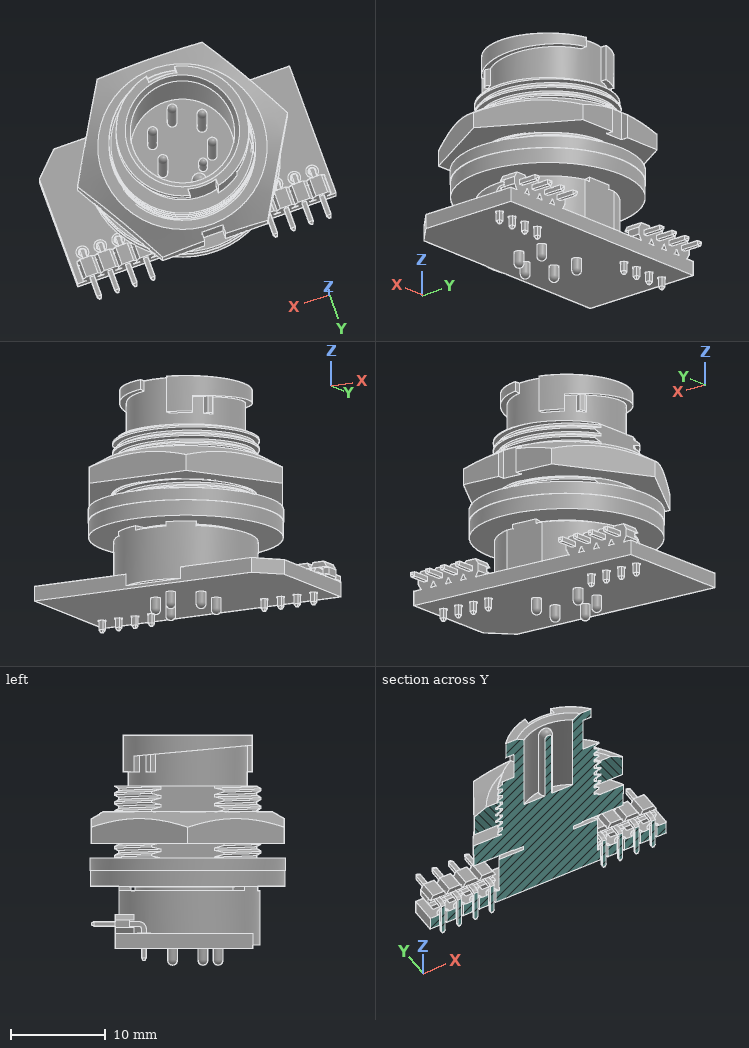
import cadquery as cq
import math


board_length = 28.96
board_thickness = 1.6
board_back_y = 7.65
board_front_y = -6.88
board_corner_cut = 2.54

header_pitch = 2.0
header_pins = 4
header_inner_pin_x = 6.87
header_leg_y = 4.62
header_height = 2.0
header_waist_bottom = 0.6
header_waist_top = 1.4
header_flat_half_width = 0.65
header_depth = 2.0
header_rear_groove = 0.5
header_pin_width = 0.5
header_pin_z = 1.0
header_pin_tip_y = 10.17
header_pin_tip_z = -2.87
header_bend_radius = 0.55
header_tip_length = 0.3
header_tip_width = 0.2
header_hole_radius = 0.42
pad_radius = 0.67
pad_thickness = 0.05

base_radius = 7.63
base_bottom = -1.25
base_top = 4.5
base_back_y = 7.27
neck_radius = 5.57
seat_radius = 6.3
seat_thickness = 0.1
tooth_inner_radius = 6.1
tooth_width_angle = 24.3
front_tooth_offset = 26.1
tooth_angles = (90, 270 - front_tooth_offset, 270 + front_tooth_offset)

flange_bottom = 4.97
flange_split = 6.65
flange_top = 7.97
flange_radius = 10.28
seal_radius = 10.33

thread_pitch = 0.94
thread_root_radius = 7.3
thread_crest_radius = 7.75
thread_root_width = 0.7
thread_crest_width = 0.2
thread_top = 15.56
thread_flat_x = -6.74
crest_below_top = 0.16
thread_bite = 0.1

barrel_top = 20.9
barrel_radius = 6.3
bore_radius = 5.5
bore_floor = 11.0
bore_chamfer = 0.53
ring_radius = 7.0
ring_depth = 3.87
ring_slot_width = 3.14
ramp_rise_per_y = 0.0915
ramp_middle_depth = 1.68
stop_end_angle = 54.2
detent_angle = 37.8
detent_radius = 6.8
detent_base_angle = 9.8
detent_tip_angle = 4.6

contact_radius = 0.52
contact_circle = 3.2
contact_angles = (30, 150, 210, 270, 330)
contact_top = 18.35
contact_bottom = -3.36
coding_pin_radius = 0.46
coding_pin_place = (-1.42, 2.48)
coding_pin_top = 14.0
key_radius = 0.76
key_y = 5.25
key_top = 19.9

nut_bottom = 9.47
nut_top = 12.84
nut_across_flats = 20.4
nut_face_radius = 8.93
nut_chamfer_angle = 30
nut_thread_clearance = 0.19
nut_groove_mouth_width = 0.52
nut_groove_floor_width = 0.12
nut_notch_width = 2.35
nut_notch_y = 9.33


def cylinder(radius, bottom, top, place=(0, 0)):
    """Upright cylinder between two heights."""
    return cq.Workplane("XY", origin=(*place, bottom)).circle(radius).extrude(top - bottom)


def box(x_range, y_range, z_range):
    """Box given by its limits along each axis."""
    limits = (x_range, y_range, z_range)
    sizes = [high - low for low, high in limits]
    return cq.Workplane("XY", origin=[low for low, _ in limits]).box(*sizes, centered=False)


def polar(radius, angle):
    """Point at a radius and an angle in degrees."""
    return (radius * math.cos(math.radians(angle)), radius * math.sin(math.radians(angle)))


def sector(inner_radius, outer_radius, middle_angle, width_angle, bottom, top):
    """Upright block of a ring between two angles."""
    start = middle_angle - width_angle / 2
    end = middle_angle + width_angle / 2
    return (
        cq.Workplane("XY", origin=(0, 0, bottom))
        .moveTo(*polar(inner_radius, start))
        .lineTo(*polar(outer_radius, start))
        .threePointArc(polar(outer_radius, middle_angle), polar(outer_radius, end))
        .lineTo(*polar(inner_radius, end))
        .threePointArc(polar(inner_radius, middle_angle), polar(inner_radius, start))
        .close()
        .extrude(top - bottom)
    )


def threaded_rod(root, crest, root_width, crest_width, bottom, top):
    """Right-handed threaded rod; the widths are those of the ridge at its root and crest."""
    top_crest_z = thread_top - crest_below_top
    turns_below = math.ceil((top_crest_z - bottom) / thread_pitch) + 1
    start_z = top_crest_z - turns_below * thread_pitch
    turns = math.ceil((top - start_z) / thread_pitch) + 1
    flank = (root_width - crest_width) / 2 / (crest - root)
    foot = root_width / 2 + flank * thread_bite
    tip = crest_width / 2
    start = cq.Vector(0, 0, start_z)
    helix = cq.Wire.makeHelix(thread_pitch, turns * thread_pitch, root, center=start)
    ridge = (
        cq.Workplane("XZ")
        .polyline(
            [
                (root - thread_bite, start_z - foot),
                (crest, start_z - tip),
                (crest, start_z + tip),
                (root - thread_bite, start_z + foot),
            ]
        )
        .close()
        .sweep(cq.Workplane(obj=helix), isFrenet=True)
    )
    ridge = ridge.intersect(cylinder(crest + thread_pitch, bottom, top))
    return cylinder(root, bottom, top).union(ridge)


def board():
    half_length = board_length / 2
    return box(
        (-half_length, half_length), (board_front_y, board_back_y), (-board_thickness, 0)
    ).cut(
        cq.Workplane("XY", origin=(0, 0, -board_thickness))
        .polyline(
            [
                (half_length, board_front_y),
                (half_length, board_front_y + board_corner_cut),
                (half_length - board_corner_cut, board_front_y),
            ]
        )
        .close()
        .extrude(board_thickness)
    )


def header_block(pin_x):
    """Eight-sided insulator around one pin, grooved at the rear where the pin comes out."""
    half_pitch = header_pitch / 2
    right_side = [
        (header_flat_half_width, 0),
        (half_pitch, header_waist_bottom),
        (half_pitch, header_waist_top),
        (header_flat_half_width, header_height),
    ]
    left_side = [(-x, z) for x, z in reversed(right_side)]
    block = (
        cq.Workplane("XZ", origin=(pin_x, board_back_y, 0))
        .polyline(right_side + left_side)
        .close()
        .extrude(header_depth)
    )
    rear_y = board_back_y - header_depth
    groove = box(
        (pin_x - half_pitch, pin_x + half_pitch),
        (rear_y, rear_y + header_rear_groove),
        (header_waist_bottom, header_waist_top),
    )
    return block.cut(groove)


def pin_tip(plane_name, origin, length):
    """Tapered square end of a header pin."""
    return (
        cq.Workplane(plane_name, origin=origin)
        .rect(header_pin_width, header_pin_width)
        .workplane(offset=length)
        .rect(header_tip_width, header_tip_width)
        .loft(combine=True)
    )


def header_pin(pin_x):
    """Square pin that runs backwards from a bend and down through the board."""
    shaft_end_y = header_pin_tip_y - header_tip_length
    shaft_end_z = header_pin_tip_z + header_tip_length
    bend_y = header_leg_y + header_bend_radius
    bend_z = header_pin_z - header_bend_radius
    path = (
        cq.Workplane("YZ", origin=(pin_x, 0, 0))
        .moveTo(shaft_end_y, header_pin_z)
        .lineTo(bend_y, header_pin_z)
        .radiusArc((header_leg_y, bend_z), -header_bend_radius)
        .lineTo(header_leg_y, shaft_end_z)
    )
    shaft = (
        cq.Workplane("XZ", origin=(pin_x, shaft_end_y, header_pin_z))
        .rect(header_pin_width, header_pin_width)
        .sweep(path)
    )
    rear_tip = pin_tip("XZ", (pin_x, shaft_end_y, header_pin_z), -header_tip_length)
    lower_tip = pin_tip("XY", (pin_x, header_leg_y, shaft_end_z), -header_tip_length)
    return shaft.union(rear_tip).union(lower_tip)


def board_with_headers():
    """Board carrying a header on each side, each pin standing free in a padded hole."""
    assembly = board()
    for side in (-1, 1):
        for index in range(header_pins):
            pin_x = side * (header_inner_pin_x + index * header_pitch)
            place = (pin_x, header_leg_y)
            hole = cylinder(header_hole_radius, -board_thickness, pad_thickness, place)
            assembly = assembly.union(cylinder(pad_radius, 0, pad_thickness, place)).cut(hole)
            assembly = assembly.union(header_block(pin_x)).union(header_pin(pin_x))
    return assembly


def connector_base():
    """Cylinder sunk into the board, with teeth and a neck that carry the flange."""
    base = cylinder(base_radius, base_bottom, flange_bottom)
    gaps = cylinder(2 * base_radius, base_top, flange_bottom)
    gaps = gaps.cut(cylinder(neck_radius, base_top, flange_bottom))
    gaps = gaps.cut(cylinder(seat_radius, flange_bottom - seat_thickness, flange_bottom))
    for angle in tooth_angles:
        gaps = gaps.cut(
            sector(
                tooth_inner_radius, 3 * base_radius, angle, tooth_width_angle, base_top, flange_bottom
            )
        )
    base = base.cut(gaps)
    back = box(
        (-base_radius, base_radius), (base_back_y, base_radius), (base_bottom, flange_bottom)
    )
    return base.cut(back)


def flange():
    lower = cylinder(flange_radius, flange_bottom, flange_split)
    return lower.union(cylinder(seal_radius, flange_split, flange_top))


def thread():
    """Male thread with one flat side."""
    flat = box(
        (-base_radius - thread_pitch, thread_flat_x),
        (-thread_crest_radius, thread_crest_radius),
        (flange_top, thread_top),
    )
    rod = threaded_rod(
        thread_root_radius,
        thread_crest_radius,
        thread_root_width,
        thread_crest_width,
        flange_top,
        thread_top,
    )
    return rod.cut(flat)


def bayonet_ring():
    """Two lips with sloping undersides, each running from a slot to a stop block."""
    bottom = barrel_top - ring_depth
    inner = (barrel_radius + bore_radius) / 2
    ring = cylinder(ring_radius, bottom, barrel_top).cut(cylinder(inner, bottom, barrel_top))
    ramp_drop = ramp_rise_per_y * ring_radius
    middle_z = barrel_top - ramp_middle_depth
    below_ramp = (
        cq.Workplane("YZ")
        .polyline(
            [
                (-ring_radius, bottom),
                (ring_radius, bottom),
                (ring_radius, middle_z + ramp_drop),
                (-ring_radius, middle_z - ramp_drop),
            ]
        )
        .close()
        .extrude(ring_radius)
    )
    stop_width = 90 - stop_end_angle
    stop_middle = -90 + stop_width / 2
    stop = sector(bore_radius, 2 * ring_radius, stop_middle, stop_width, bottom, barrel_top)
    detent = (
        cq.Workplane("XY", origin=(0, 0, bottom))
        .polyline(
            [
                polar(inner, -detent_angle - detent_base_angle / 2),
                polar(barrel_radius, -detent_angle - detent_base_angle / 2),
                polar(detent_radius, -detent_angle - detent_tip_angle / 2),
                polar(detent_radius, -detent_angle + detent_tip_angle / 2),
                polar(barrel_radius, -detent_angle + detent_base_angle / 2),
                polar(inner, -detent_angle + detent_base_angle / 2),
            ]
        )
        .close()
        .extrude(ring_depth)
    )
    undercut = below_ramp.cut(stop).cut(detent)
    for turn in (0, 180):
        ring = ring.cut(undercut.rotate((0, 0, 0), (0, 0, 1), turn))
    slots = box(
        (-ring_slot_width / 2, ring_slot_width / 2), (-ring_radius, ring_radius), (bottom, barrel_top)
    )
    return ring.cut(slots)


def barrel():
    return cylinder(barrel_radius, thread_top, barrel_top).union(bayonet_ring())


def bore():
    """Blind bore with a chamfered mouth."""
    mouth_radius = bore_radius + bore_chamfer
    return (
        cq.Workplane("XZ")
        .polyline(
            [
                (0, bore_floor),
                (bore_radius, bore_floor),
                (bore_radius, barrel_top - bore_chamfer),
                (mouth_radius, barrel_top),
                (0, barrel_top),
            ]
        )
        .close()
        .revolve(360, (0, 0), (0, 1))
    )


def domed_pin(radius, bottom, top, place):
    """Round pin with a hemispherical top."""
    dome_z = top - radius
    dome = cq.Workplane("XY", origin=(*place, dome_z)).sphere(radius)
    return cylinder(radius, bottom, dome_z, place).union(dome)


def contacts():
    """Contacts domed at both ends, the coding pin and the key rib along the bore wall."""
    pins = domed_pin(coding_pin_radius, bore_floor, coding_pin_top, coding_pin_place)
    pins = pins.union(domed_pin(key_radius, bore_floor, key_top, (0, key_y)))
    for angle in contact_angles:
        place = polar(contact_circle, angle)
        upper = domed_pin(contact_radius, bore_floor, contact_top, place)
        lower = domed_pin(contact_radius, -base_bottom, -contact_bottom, place).mirror("XY")
        pins = pins.union(upper).union(lower)
    return pins


def connector():
    shell = connector_base().union(flange()).union(thread()).union(barrel())
    return shell.cut(bore()).union(contacts())


def nut():
    """Hexagonal nut chamfered on top, notched at the back and running free on the thread."""
    height = nut_top - nut_bottom
    corner_radius = nut_across_flats / math.sqrt(3)
    drop = (corner_radius - nut_face_radius) * math.tan(math.radians(nut_chamfer_angle))
    blank = cq.Workplane("XY", origin=(0, 0, nut_bottom))
    hexagon = blank.polygon(6, 2 * corner_radius).extrude(height)
    cone = (
        cq.Workplane("XZ")
        .polyline(
            [
                (0, nut_bottom),
                (corner_radius, nut_bottom),
                (corner_radius, nut_top - drop),
                (nut_face_radius, nut_top),
                (0, nut_top),
            ]
        )
        .close()
        .revolve(360, (0, 0), (0, 1))
    )
    notch = box(
        (-nut_notch_width / 2, nut_notch_width / 2), (nut_notch_y, corner_radius), (nut_bottom, nut_top)
    )
    threaded_hole = threaded_rod(
        thread_root_radius + nut_thread_clearance,
        thread_crest_radius + nut_thread_clearance,
        nut_groove_mouth_width,
        nut_groove_floor_width,
        nut_bottom,
        nut_top,
    )
    return hexagon.intersect(cone).cut(notch).cut(threaded_hole)


connector_on_board = board_with_headers().union(connector())
panel_nut = nut()

result = cq.Compound.makeCompound([connector_on_board.val(), panel_nut.val()])